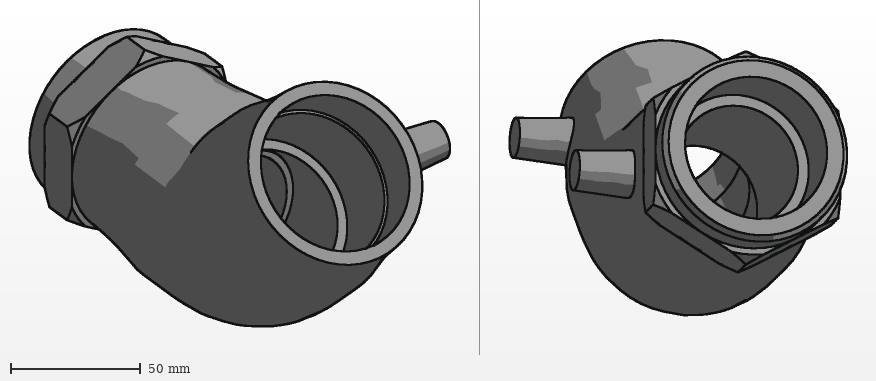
import cadquery as cq
import math

BEND_ANGLE = 45.0
BEND_RADIUS = 34.8
BODY_RADIUS = 82.0 / 2
END_RADIUS = 73.8 / 2
FLARE_LENGTH = 37.0
FLARE_SAG = 0.8
STRAIGHT_LENGTH = 20.0

COLLAR_LENGTH = 12.0
COLLAR_CHAMFER = 2.0
HEX_WIDTH = 18.0
HEX_ACROSS_FLATS = 2 * END_RADIUS
HEX_CHAMFER = 3.2
INLET_BORE_RADIUS = 56.66 / 2
INLET_BORE_DEPTH = 27.0
SHOULDER_RADIUS = 48.0 / 2

SOCKET_RADIUS = 63.0 / 2
SOCKET_MOUTH_DEPTH = 15.0
GROOVE_END_DEPTH = 22.5
GROOVE_RADIUS = 32.4
SOCKET_INNER_RADIUS = 31.1
BEND_BORE_RADIUS = 27.0

PIN_TIP_RADIUS = 7.75
PIN_DRAFT = 4.0
PIN_TIP_Y = 59.0
PIN_SETBACK = 19.5

FLARE_START = COLLAR_LENGTH + HEX_WIDTH
BEND_START = FLARE_START + FLARE_LENGTH + STRAIGHT_LENGTH
ARM_LENGTH = STRAIGHT_LENGTH + FLARE_LENGTH
BEND_RAD = math.radians(BEND_ANGLE)
ARM_START_X = BEND_START + BEND_RADIUS * math.sin(BEND_RAD)
ARM_START_Z = BEND_RADIUS * (1 - math.cos(BEND_RAD))


def run_plane(x):
    """Plane across the straight run at x, facing +X."""
    return cq.Plane(origin=(x, 0, 0), xDir=(0, 1, 0), normal=(1, 0, 0))


def arm_point(distance):
    """Point on the arm axis at a distance from the end of the bend."""
    return (ARM_START_X + distance * math.cos(BEND_RAD), 0, ARM_START_Z + distance * math.sin(BEND_RAD))


def along_run(half_profile):
    """Turn a half profile of (axial, radial) points about the axis of the run."""
    return half_profile.close().revolve(360, (0, 0, 0), (1, 0, 0))


def along_arm(solid):
    """Move a solid built on the X axis so that its origin sits on the arm start."""
    return solid.rotate((0, 0, 0), (0, 1, 0), -BEND_ANGLE).translate(arm_point(0))


def flared_pipe():
    """Body from a flared end at the origin to the start of the bend."""
    profile = (
        cq.Workplane("XZ")
        .lineTo(0, END_RADIUS)
        .sagittaArc((FLARE_LENGTH, BODY_RADIUS), -FLARE_SAG)
        .lineTo(ARM_LENGTH, BODY_RADIUS)
        .lineTo(ARM_LENGTH, 0)
    )
    return along_run(profile)


def bend(radius):
    """Bend of round section; any part of the section past the bend axis is left out."""
    section = cq.Workplane(run_plane(BEND_START))
    if radius < BEND_RADIUS:
        section = section.circle(radius)
    else:
        half_chord = math.sqrt(radius**2 - BEND_RADIUS**2)
        section = (
            section.moveTo(-half_chord, BEND_RADIUS)
            .threePointArc((0, -radius), (half_chord, BEND_RADIUS))
            .close()
        )
    return section.revolve(BEND_ANGLE, (0, BEND_RADIUS, 0), (-1, BEND_RADIUS, 0))


def body():
    """Straight run, bend and angled arm, solid."""
    run = flared_pipe().translate((FLARE_START, 0, 0))
    arm = along_arm(flared_pipe().mirror("YZ").translate((ARM_LENGTH, 0, 0)))
    return run.union(bend(BODY_RADIUS)).union(arm)


def collar():
    """Round collar in front of the hexagon, chamfered at its open end."""
    ring = cq.Workplane("YZ").circle(END_RADIUS).extrude(FLARE_START)
    return ring.faces("<X").chamfer(COLLAR_CHAMFER)


def hexagon():
    """Hexagon with corners at +Z and -Z, its corners turned down to a cone at both ends."""
    corner_radius = HEX_ACROSS_FLATS / math.sqrt(3)
    nut = (
        cq.Workplane(run_plane(COLLAR_LENGTH))
        .polygon(6, 2 * corner_radius)
        .extrude(HEX_WIDTH)
        .rotate((0, 0, 0), (1, 0, 0), 90)
    )
    envelope = along_run(
        cq.Workplane("XZ")
        .moveTo(COLLAR_LENGTH, 0)
        .lineTo(COLLAR_LENGTH, corner_radius - HEX_CHAMFER)
        .lineTo(COLLAR_LENGTH + HEX_CHAMFER, corner_radius)
        .lineTo(FLARE_START - HEX_CHAMFER, corner_radius)
        .lineTo(FLARE_START, corner_radius - HEX_CHAMFER)
        .lineTo(FLARE_START, 0)
    )
    return nut.intersect(envelope)


def pin(x, z):
    """Tapered terminal pin reaching from its tip to the middle of the socket wall."""
    length = PIN_TIP_Y - (END_RADIUS + SOCKET_RADIUS) / 2
    return (
        cq.Workplane(cq.Plane(origin=(x, PIN_TIP_Y, z), xDir=(1, 0, 0), normal=(0, -1, 0)))
        .circle(PIN_TIP_RADIUS)
        .extrude(length, taper=-PIN_DRAFT)
    )


def inlet_bore():
    """Stepped bore of the straight run, up to the bend."""
    thread = cq.Workplane("YZ").circle(INLET_BORE_RADIUS).extrude(INLET_BORE_DEPTH)
    passage = cq.Workplane("YZ").circle(SHOULDER_RADIUS).extrude(BEND_START)
    return thread.union(passage)


def socket():
    """Socket of the arm, stepped down from the mouth to its floor at the end of the bend."""
    profile = (
        cq.Workplane("XZ")
        .lineTo(0, SOCKET_INNER_RADIUS)
        .lineTo(ARM_LENGTH - GROOVE_END_DEPTH, SOCKET_INNER_RADIUS)
        .lineTo(ARM_LENGTH - GROOVE_END_DEPTH, GROOVE_RADIUS)
        .lineTo(ARM_LENGTH - SOCKET_MOUTH_DEPTH, SOCKET_RADIUS)
        .lineTo(ARM_LENGTH, SOCKET_RADIUS)
        .lineTo(ARM_LENGTH, 0)
    )
    return along_arm(along_run(profile))


result = body().union(collar()).union(hexagon())
arm_pin_x, _, arm_pin_z = arm_point(ARM_LENGTH - PIN_SETBACK)
for pin_x, pin_z in ((FLARE_START + PIN_SETBACK, 0), (arm_pin_x, arm_pin_z)):
    result = result.union(pin(pin_x, pin_z))
for cavity in (inlet_bore(), bend(BEND_BORE_RADIUS), socket()):
    result = result.cut(cavity)